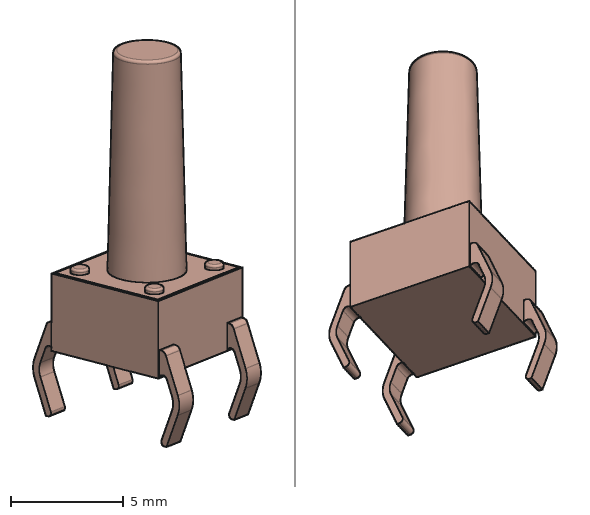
import cadquery as cq
import math

total_height = 17.18

body_length = 6.1
body_width = 6.0
body_bottom = 3.16
body_top = 6.8
cover_inset = 0.1
cover_top = 6.84

plunger_base_diameter = 3.54
plunger_top_diameter = 3.02
plunger_top_rounding = 0.15

rivet_diameter = 0.85
rivet_offset = 2.13
rivet_top = 7.1
rivet_rounding = 0.12

lead_span = 8.37
lead_width = 1.0
lead_thickness = 0.36
lead_offset_y = 2.4
lead_lean = math.radians(21.5)
lead_top = 4.48
bend_height = 2.11
bend_outer_radius = 1.27
shoulder_radius = 0.3
arch_top = 3.33
arch_radius = 0.24
tip_radius = 0.19
lead_embed = 0.17


def make_housing():
    block = (
        cq.Workplane("XY")
        .workplane(offset=body_bottom)
        .rect(body_length, body_width)
        .extrude(body_top - body_bottom)
    )
    cover = (
        cq.Workplane("XY")
        .workplane(offset=body_top)
        .rect(body_length - 2 * cover_inset, body_width - 2 * cover_inset)
        .extrude(cover_top - body_top)
    )
    return block.union(cover)


def make_plunger():
    return (
        cq.Workplane("XY")
        .workplane(offset=cover_top)
        .circle(plunger_base_diameter / 2)
        .workplane(offset=total_height - cover_top)
        .circle(plunger_top_diameter / 2)
        .loft()
        .faces(">Z")
        .edges()
        .fillet(plunger_top_rounding)
    )


def make_rivets():
    return (
        cq.Workplane("XY")
        .workplane(offset=cover_top)
        .rect(2 * rivet_offset, 2 * rivet_offset, forConstruction=True)
        .vertices()
        .circle(rivet_diameter / 2)
        .extrude(rivet_top - cover_top)
        .faces(">Z")
        .edges()
        .fillet(rivet_rounding)
    )


def on_circle(center, radius, angle):
    return (center[0] + radius * math.cos(angle), center[1] + radius * math.sin(angle))


def make_lead():
    """Lead on the +X side, centred on Y = 0: two leaning straights joined by a bend."""
    bend_center_x = lead_span / 2 - bend_outer_radius
    bend_center = (bend_center_x, bend_height)
    bend_inner_radius = bend_outer_radius - lead_thickness

    def straight_x(distance, z):
        """X at height z on a line parallel to a straight, at this distance from the bend centre."""
        rise = abs(z - bend_height) * math.sin(lead_lean)
        return bend_center_x + (distance - rise) / math.cos(lead_lean)

    shoulder_z = lead_top - shoulder_radius
    shoulder_center = (straight_x(bend_outer_radius - shoulder_radius, shoulder_z), shoulder_z)

    arch_z = arch_top - arch_radius
    arch_center = (straight_x(bend_inner_radius - arch_radius, arch_z), arch_z)
    housing_side = body_length / 2
    arch_end_angle = math.acos((housing_side - arch_center[0]) / arch_radius)
    arch_end = on_circle(arch_center, arch_radius, arch_end_angle)
    arch_mid_angle = (lead_lean + arch_end_angle) / 2

    tip_center = (straight_x(bend_inner_radius + tip_radius, tip_radius), tip_radius)
    tip_end_angle = math.pi - lead_lean
    tip_mid_angle = (tip_end_angle + 1.5 * math.pi) / 2

    embedded_x = housing_side - lead_embed
    profile = (
        cq.Workplane("XZ")
        .moveTo(embedded_x, lead_top)
        .lineTo(shoulder_center[0], lead_top)
        .threePointArc(
            on_circle(shoulder_center, shoulder_radius, (lead_lean + math.pi / 2) / 2),
            on_circle(shoulder_center, shoulder_radius, lead_lean),
        )
        .lineTo(*on_circle(bend_center, bend_outer_radius, lead_lean))
        .threePointArc(
            on_circle(bend_center, bend_outer_radius, 0),
            on_circle(bend_center, bend_outer_radius, -lead_lean),
        )
        .lineTo(straight_x(bend_outer_radius, 0), 0)
        .lineTo(tip_center[0], 0)
        .threePointArc(
            on_circle(tip_center, tip_radius, tip_mid_angle),
            on_circle(tip_center, tip_radius, tip_end_angle),
        )
        .lineTo(*on_circle(bend_center, bend_inner_radius, -lead_lean))
        .threePointArc(
            on_circle(bend_center, bend_inner_radius, 0),
            on_circle(bend_center, bend_inner_radius, lead_lean),
        )
        .lineTo(*on_circle(arch_center, arch_radius, lead_lean))
        .threePointArc(on_circle(arch_center, arch_radius, arch_mid_angle), arch_end)
        .lineTo(embedded_x, arch_end[1])
        .close()
    )
    return profile.extrude(lead_width / 2, both=True)


result = make_housing().union(make_plunger()).union(make_rivets())

right_lead = make_lead()
left_lead = right_lead.mirror("YZ")
for lead_y in (-lead_offset_y, lead_offset_y):
    for lead in (left_lead, right_lead):
        result = result.union(lead.translate((0, lead_y, 0)))